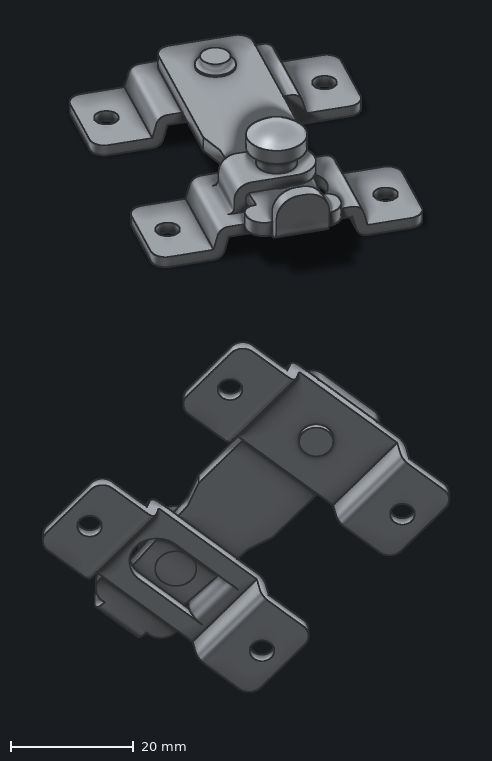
import cadquery as cq
import math


sheet = 2.0
bracket_width = 16.0
bracket_length = 46.0
bracket_pitch = 35.0
corner_radius = 2.5
bridge_top = 6.0
bridge_bottom = bridge_top - sheet
bridge_half = 10.5
wall_lean = 15
screw_hole_diameter = 4.0
screw_hole_y = 18.5
pivot_x = bracket_width / 2
knob_x = pivot_x + bracket_pitch

tongue_width = 9.0
tongue_half = tongue_width / 2
tongue_top = 11.5
tongue_face_y = -8.5
tongue_end_centre_y = 2.0
bend_inner_radius = 1.0
bend_outer_radius = bend_inner_radius + sheet
tongue_root_y = tongue_face_y - bend_inner_radius
window_end_y = 8.5

arm_thickness = 2.6
arm_top = bridge_top + arm_thickness
arm_half = 8.0
shoulder_start_x = 28.0
shoulder_end_x = 32.5
neck_start_half = 6.5
neck_end_half = 5.5
neck_end_x = 49.95
neck_fillet = 0.4
lobe_inner_radius = 2.0
lobe_outer_radius = 3.0
arm_length = 58.0

tab_thickness = 2.5
tab_width = 9.0
tab_corner_radius = 4.0
tab_bend_radius = 2.45
tab_top = 14.5
lobe_end_x = arm_length - tab_thickness

rivet_shank_radius = 2.8
rivet_head_radius = 3.35
rivet_crown_radius = 2.5
rivet_rim_top = arm_top + 0.35
rivet_top = 10.5
rivet_bottom = 3.0
rivet_flare_sag = 0.1

stem_radius = 3.35
knob_radius = 5.0
knob_underside = 14.5
knob_rim_top = 17.0
knob_top = 19.0


def vertical_cylinder(x, y, radius, bottom, top):
    return cq.Workplane("XY", origin=(x, y, bottom)).circle(radius).extrude(top - bottom)


def make_bracket(centre_x):
    """Hat-shaped bracket of bent sheet: raised bridge, leaning walls and two feet."""
    lean = math.radians(wall_lean)
    mitre = sheet * math.tan((math.pi / 2 - lean) / 2)
    end_y = bracket_length / 2
    shoulder_y = bridge_half + mitre
    foot_y = shoulder_y + bridge_bottom * math.tan(lean)
    heel_y = foot_y - mitre

    right_half = [
        (shoulder_y, bridge_top),
        (foot_y, sheet),
        (end_y, sheet),
        (end_y, 0),
        (heel_y, 0),
        (bridge_half, bridge_bottom),
    ]
    left_half = [(-y, z) for y, z in reversed(right_half)]
    bracket = (
        cq.Workplane("YZ", origin=(centre_x, 0, 0))
        .polyline(right_half + left_half)
        .close()
        .extrude(bracket_width / 2, both=True)
    )

    for y, z in ((shoulder_y, bridge_top), (heel_y, 0)):
        for side in (-1, 1):
            bend_edge = cq.selectors.NearestToPointSelector((centre_x, side * y, z))
            bracket = bracket.edges(bend_edge).fillet(sheet)

    bracket = bracket.faces("<Y or >Y").edges("|Z").fillet(corner_radius)
    for side in (-1, 1):
        bracket = bracket.cut(
            vertical_cylinder(centre_x, side * screw_hole_y, screw_hole_diameter / 2, 0, sheet)
        )
    return bracket


def make_pivot_bracket():
    hole = vertical_cylinder(pivot_x, 0, rivet_shank_radius, bridge_bottom, bridge_top)
    return make_bracket(pivot_x).cut(hole)


def round_ended_prism(end_y, bottom, top):
    """Upright prism as wide as the tongue, from the tongue's root to a round end at end_y."""
    return (
        cq.Workplane("XY", origin=(knob_x, 0, bottom))
        .moveTo(-tongue_half, tongue_root_y)
        .lineTo(-tongue_half, end_y - tongue_half)
        .threePointArc((0, end_y), (tongue_half, end_y - tongue_half))
        .lineTo(tongue_half, tongue_root_y)
        .close()
        .extrude(top - bottom)
    )


def make_tongue():
    """S-bent strip that rises from the bridge and reaches back over the arm."""
    inner_face_y = tongue_face_y + sheet
    top_bend_y = tongue_face_y + bend_outer_radius
    top_bend_z = tongue_top - bend_outer_radius
    root_bend_z = bridge_top + bend_inner_radius
    tip_y = tongue_end_centre_y + tongue_half
    strip = (
        cq.Workplane("YZ", origin=(knob_x, 0, 0))
        .moveTo(tongue_root_y, bridge_bottom)
        .lineTo(tongue_root_y, bridge_top)
        .radiusArc((tongue_face_y, root_bend_z), -bend_inner_radius)
        .lineTo(tongue_face_y, top_bend_z)
        .radiusArc((top_bend_y, tongue_top), bend_outer_radius)
        .lineTo(tip_y, tongue_top)
        .lineTo(tip_y, tongue_top - sheet)
        .lineTo(top_bend_y, tongue_top - sheet)
        .radiusArc((inner_face_y, top_bend_z), -bend_inner_radius)
        .lineTo(inner_face_y, root_bend_z)
        .radiusArc((tongue_root_y, bridge_bottom), bend_outer_radius)
        .close()
        .extrude(tongue_half, both=True)
    )
    return strip.intersect(round_ended_prism(tip_y, bridge_bottom, tongue_top))


def make_knob_bracket():
    window = round_ended_prism(window_end_y, bridge_bottom, bridge_top)
    stem_hole = vertical_cylinder(knob_x, 0, stem_radius, bridge_top, tongue_top)
    return make_bracket(knob_x).cut(window).union(make_tongue()).cut(stem_hole)


def make_arm_plate():
    """Flat arm that narrows to a neck and ends in two rounded lobes."""
    lobe_rise_y = arm_half - lobe_inner_radius
    plate = (
        cq.Workplane("XY", origin=(0, 0, bridge_top))
        .lineTo(0, arm_half)
        .lineTo(shoulder_start_x, arm_half)
        .lineTo(shoulder_end_x, neck_start_half)
        .lineTo(neck_end_x, neck_end_half)
        .lineTo(neck_end_x, lobe_rise_y)
        .radiusArc((neck_end_x + lobe_inner_radius, arm_half), lobe_inner_radius)
        .lineTo(lobe_end_x - lobe_outer_radius, arm_half)
        .radiusArc((lobe_end_x, arm_half - lobe_outer_radius), lobe_outer_radius)
        .lineTo(lobe_end_x, 0)
        .mirrorX()
        .extrude(arm_thickness)
    )
    plate = plate.faces("<X").edges("|Z").fillet(corner_radius)
    middle_z = bridge_top + arm_thickness / 2
    for side in (-1, 1):
        corner = cq.selectors.NearestToPointSelector((neck_end_x, side * neck_end_half, middle_z))
        plate = plate.edges(corner).fillet(neck_fillet)
    return plate


def make_tab():
    """Upright tab with rounded upper corners and a rounded outer bend."""
    tab = cq.Workplane("XY").box(
        tab_thickness, tab_width, tab_top - bridge_top, centered=(False, True, False)
    )
    tab = tab.translate((lobe_end_x, 0, bridge_top))
    tab = tab.faces(">Z").edges("|X").fillet(tab_corner_radius)
    return tab.faces(">X").edges("<Z").fillet(tab_bend_radius)


def make_arm():
    arm = make_arm_plate().union(make_tab())
    for x, radius in ((pivot_x, rivet_shank_radius), (knob_x, stem_radius)):
        arm = arm.cut(vertical_cylinder(x, 0, radius, bridge_top, arm_top))
    return arm


def make_rivet():
    flare_mid_radius = (rivet_head_radius + rivet_crown_radius) / 2 - rivet_flare_sag
    flare_mid_z = (rivet_rim_top + rivet_top) / 2 - rivet_flare_sag
    return (
        cq.Workplane("XZ", origin=(pivot_x, 0, 0))
        .moveTo(0, rivet_bottom)
        .lineTo(rivet_shank_radius, rivet_bottom)
        .lineTo(rivet_shank_radius, arm_top)
        .lineTo(rivet_head_radius, arm_top)
        .lineTo(rivet_head_radius, rivet_rim_top)
        .threePointArc((flare_mid_radius, flare_mid_z), (rivet_crown_radius, rivet_top))
        .lineTo(0, rivet_top)
        .close()
        .revolve(360, (0, 0, 0), (0, 1, 0))
    )


def make_knob():
    """Domed knob whose stem passes through the tongue and the arm."""
    dome_height = knob_top - knob_rim_top
    dome_radius = (knob_radius**2 + dome_height**2) / (2 * dome_height)
    return (
        cq.Workplane("XZ", origin=(knob_x, 0, 0))
        .moveTo(0, bridge_top)
        .lineTo(stem_radius, bridge_top)
        .lineTo(stem_radius, knob_underside)
        .lineTo(knob_radius, knob_underside)
        .lineTo(knob_radius, knob_rim_top)
        .radiusArc((0, knob_top), -dome_radius)
        .close()
        .revolve(360, (0, 0, 0), (0, 1, 0))
    )


pivot_bracket = make_pivot_bracket()
knob_bracket = make_knob_bracket()
arm = make_arm()
rivet = make_rivet()
knob = make_knob()

result = cq.Compound.makeCompound(
    [pivot_bracket.val(), knob_bracket.val(), arm.val(), rivet.val(), knob.val()]
)